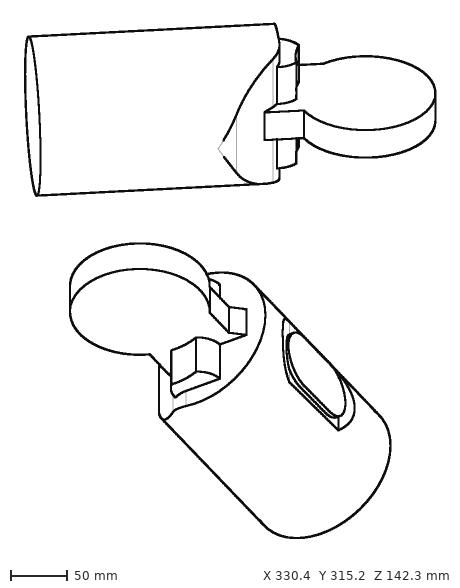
import cadquery as cq
import math

HEADING = 45.7

BARREL_DIAMETER = 142.3
BARREL_RADIUS = BARREL_DIAMETER / 2
BARREL_LENGTH = 220.0
BEVEL_DISTANCE = 169.0
BEVEL_ROUND = 24.8

RECESS_START = 63.0
FLOOR_START = 78.5
FLOOR_START_OFFSET = 63.5
FLOOR_END = 163.0
FLOOR_END_OFFSET = 62.5
RAMP_MIDDLE = 175.0
RAMP_MIDDLE_OFFSET = 65.5
RECESS_END = 189.5

PAD_CENTER = 122.5
PAD_LENGTH = 98.0
PAD_WIDTH = 54.8
PAD_TOP_OFFSET = 67.0
PAD_ROOT_OFFSET = 49.5
FLOOR_TILT = math.degrees(
    math.atan2(FLOOR_END_OFFSET - FLOOR_START_OFFSET, FLOOR_END - FLOOR_START)
)

NOSE_CENTER = 218.0
NOSE_RADIUS = 24.0
NOSE_HEIGHT = 106.3

ARM_THICKNESS = 29.0
DISC_RADIUS = 62.5
DISC_CENTER = (296.8, -13.5)
NECK_LEFT = 39.5
NECK_RIGHT = 37.3
FOOT_LEFT = 51.5
FOOT_END = 230.5
NECK_ROOT = 165.0


def upright(sketch, height):
    """Extrude a plan outline symmetrically about the mid plane."""
    return sketch.extrude(height / 2, both=True)


def barrel_blank():
    """Cylinder whose front corner is bevelled, with both bevel edges rounded."""
    blank = (
        cq.Workplane("XY")
        .box(BARREL_LENGTH, BARREL_DIAMETER, BARREL_DIAMETER, centered=(False, True, True))
    )
    span = 2 * BARREL_LENGTH
    bevel = (
        cq.Workplane("XY")
        .box(span, 2 * span, span, centered=(False, True, True))
        .translate((BEVEL_DISTANCE, 0, 0))
        .rotate((0, 0, 0), (0, 0, 1), -HEADING)
    )
    bevel_direction = cq.Vector(
        math.cos(math.radians(HEADING)), -math.sin(math.radians(HEADING)), 0
    )
    bevel_face = cq.selectors.DirectionMinMaxSelector(bevel_direction, True)
    blank = blank.cut(bevel).faces(bevel_face).edges("|Z").fillet(BEVEL_ROUND)
    cylinder = cq.Workplane("YZ").circle(BARREL_RADIUS).extrude(BARREL_LENGTH)
    return cylinder.intersect(blank)


def side_recess():
    outline = (
        cq.Workplane("XY")
        .moveTo(RECESS_START, BARREL_RADIUS)
        .lineTo(FLOOR_START, FLOOR_START_OFFSET)
        .lineTo(FLOOR_END, FLOOR_END_OFFSET)
        .threePointArc((RAMP_MIDDLE, RAMP_MIDDLE_OFFSET), (RECESS_END, BARREL_RADIUS))
        .close()
    )
    return upright(outline, BARREL_DIAMETER)


def pad():
    return (
        cq.Workplane("XZ", origin=(PAD_CENTER, PAD_ROOT_OFFSET, 0))
        .slot2D(PAD_LENGTH, PAD_WIDTH)
        .extrude(PAD_ROOT_OFFSET - PAD_TOP_OFFSET)
        .rotate((PAD_CENTER, PAD_TOP_OFFSET, 0), (PAD_CENTER, PAD_TOP_OFFSET, 1), FLOOR_TILT)
    )


def nose():
    """Round post hollowed on its front side to the radius of the arm's disc."""
    post = upright(cq.Workplane("XY").center(NOSE_CENTER, 0).circle(NOSE_RADIUS), NOSE_HEIGHT)
    hollow = upright(cq.Workplane("XY").center(*DISC_CENTER).circle(DISC_RADIUS), NOSE_HEIGHT)
    return post.cut(hollow)


def arm_gap():
    """Slit through the nose that lets the neck reach the front of the barrel."""
    return cq.Workplane("XY").box(
        2 * (NOSE_CENTER + NOSE_RADIUS), 2 * BARREL_DIAMETER, ARM_THICKNESS
    )


def make_housing():
    slit_nose = nose().cut(arm_gap())
    return barrel_blank().cut(side_recess()).union(pad()).union(slit_nose)


def make_arm(housing):
    """Disc and neck, with the neck's root butted against the housing."""
    disc = upright(cq.Workplane("XY").center(*DISC_CENTER).circle(DISC_RADIUS), ARM_THICKNESS)
    neck_outline = (
        cq.Workplane("XY")
        .moveTo(NECK_ROOT, -NECK_RIGHT)
        .lineTo(DISC_CENTER[0], -NECK_RIGHT)
        .lineTo(DISC_CENTER[0], NECK_LEFT)
        .lineTo(FOOT_END, NECK_LEFT)
        .lineTo(BARREL_LENGTH, FOOT_LEFT)
        .lineTo(NECK_ROOT, FOOT_LEFT)
        .close()
    )
    return disc.union(upright(neck_outline, ARM_THICKNESS)).cut(housing)


def turn_to_heading(body):
    return body.rotate((0, 0, 0), (0, 0, 1), HEADING)


housing = make_housing()
arm = make_arm(housing)
result = cq.Compound.makeCompound(
    [solid for body in (housing, arm) for solid in turn_to_heading(body).solids().vals()]
)